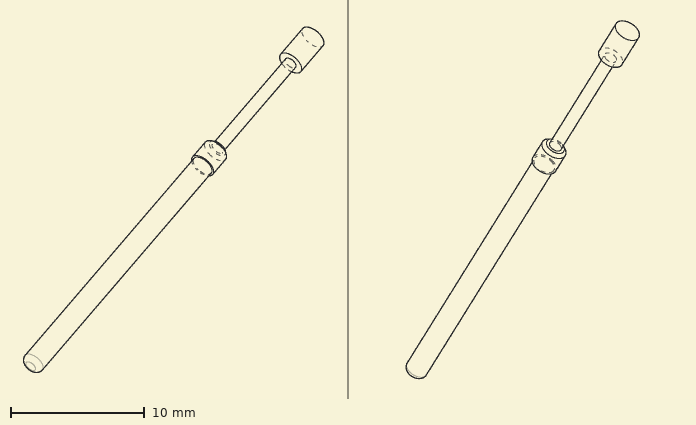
import cadquery as cq

total_length = 37.8

head_diameter = 2.0
head_length = 3.0

plunger_diameter = 1.0

collar_diameter = head_diameter
collar_front = total_length - 12.78
collar_length = 2.0
collar_chamfer = 0.25

barrel_diameter = 1.7
tail_radius = 0.4


def cylinder(diameter, start, end):
    """Solid cylinder on the Y axis between two Y positions."""
    base = cq.Workplane("XZ", origin=(0, start, 0))
    return base.circle(diameter / 2).extrude(start - end)


head_rear = total_length - head_length
collar_rear = collar_front - collar_length

barrel = cylinder(barrel_diameter, 0, collar_rear).faces("<Y").edges().fillet(tail_radius)
collar = cylinder(collar_diameter, collar_rear, collar_front).faces(">Y").edges().chamfer(collar_chamfer)
plunger = cylinder(plunger_diameter, collar_front, head_rear)
head = cylinder(head_diameter, head_rear, total_length)

result = barrel.union(collar).union(plunger).union(head)